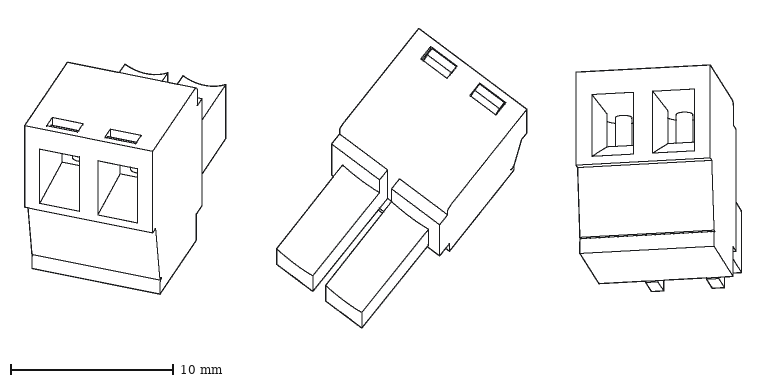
import cadquery as cq
import math


width = 8.42
length = 15.5
height = 11.3
pole_pitch = 3.81
pole_positions = (-pole_pitch / 2, pole_pitch / 2)

housing_depth = 8.8
upper_depth = 8.0
lower_depth = 7.81
shelf_top = 9.8
shelf_bottom = 1.92
rear_top_radius = 0.5
front_face_bottom = 5.3
front_overhang = 0.53
foot_front = 1.3
foot_lip_radius = 0.31
foot_top = 1.04

entry_width = 2.6
entry_top = height - 1.5
entry_bottom = height - 5.49
throat_width = 1.72
throat_top = height - 1.95
throat_bottom = height - 4.06
funnel_depth = 2.79
chamber_radius = 1.29
pin_radius = 0.51

window_width = 2.03
window_front = 0.46
window_length = 0.99
window_depth = 0.59
step_width = 1.92
step_depth = 0.23
step_length = window_length / 2

prong_width = 2.88
prong_bottom = 2.6
prong_top = 6.6
prong_draft = 0.03
prong_hollow = 0.39
gap_width = pole_pitch - prong_width

tab_width = 0.78
tab_length = 1.97
tab_height = 0.98
tab_setback = 0.22


def box(x_center, x_size, y_start, y_end, z_start, z_end):
    """Upright block given by its X centre and width and its Y and Z limits."""
    return (
        cq.Workplane("XY", origin=(x_center, (y_start + y_end) / 2, z_start))
        .rect(x_size, y_end - y_start)
        .extrude(z_end - z_start)
    )


def make_housing():
    """Side profile across the full width, with the gap between the prongs cut into its shelf."""
    lip_mid = foot_lip_radius * (1 - math.sqrt(0.5))
    body = (
        cq.Workplane("YZ", origin=(-width / 2, 0, 0))
        .moveTo(foot_front, 0)
        .lineTo(lower_depth, 0)
        .lineTo(lower_depth, shelf_bottom)
        .lineTo(housing_depth, shelf_bottom)
        .lineTo(housing_depth, shelf_top)
        .lineTo(upper_depth, shelf_top)
        .lineTo(upper_depth, height - rear_top_radius)
        .tangentArcPoint((-rear_top_radius, rear_top_radius))
        .lineTo(0, height)
        .lineTo(0, front_face_bottom)
        .lineTo(front_overhang, front_face_bottom)
        .lineTo(foot_front, foot_top)
        .lineTo(foot_front + foot_lip_radius, foot_top)
        .threePointArc(
            (foot_front + lip_mid, foot_top - lip_mid),
            (foot_front, foot_top - foot_lip_radius),
        )
        .close()
        .extrude(width)
    )
    gap = box(0, gap_width, upper_depth, housing_depth, prong_bottom, shelf_top)
    return body.cut(gap)


def make_wire_entry(x):
    """Tapered funnel ending in an upright round chamber with a pin left standing in it."""
    entry_height = entry_top - entry_bottom
    throat_height = throat_top - throat_bottom
    entry_middle = (entry_top + entry_bottom) / 2
    throat_middle = (throat_top + throat_bottom) / 2
    funnel = (
        cq.Workplane("XZ", origin=(x, 0, entry_middle))
        .rect(entry_width, entry_height)
        .workplane(offset=-funnel_depth)
        .center(0, throat_middle - entry_middle)
        .rect(throat_width, throat_height)
        .loft(ruled=True)
    )
    chamber_y = funnel_depth + math.sqrt(chamber_radius**2 - (throat_width / 2) ** 2)
    chamber = (
        cq.Workplane("XY", origin=(x, chamber_y, throat_bottom))
        .circle(chamber_radius)
        .circle(pin_radius)
        .extrude(throat_height)
    )
    behind_throat = box(x, 2 * chamber_radius, funnel_depth, housing_depth, throat_bottom, throat_top)
    return funnel.union(chamber.intersect(behind_throat))


def make_window(x):
    """Window with a front step that slopes down to its rear; the step stops short of the outer side."""
    window_rear = window_front + window_length
    opening = box(x, window_width, window_front, window_rear, height - window_depth, height)
    inner_side = x - math.copysign(window_width / 2, x)
    step_center = inner_side + math.copysign(step_width / 2, x)
    step = (
        cq.Workplane("YZ", origin=(step_center - step_width / 2, 0, 0))
        .moveTo(window_front, height - window_depth)
        .lineTo(window_rear, height - window_depth)
        .lineTo(window_front + step_length, height - step_depth)
        .lineTo(window_front, height - step_depth)
        .close()
        .extrude(step_width)
    )
    return opening.cut(step)


def prong_section(sketch, inset):
    """Prong outline in X and Z, its sides and top drawn in by the inset."""
    half_width = prong_width / 2 - inset
    top = prong_top - inset
    return (
        sketch.moveTo(-half_width, prong_bottom)
        .lineTo(half_width, prong_bottom)
        .lineTo(half_width, top)
        .threePointArc((0, top - prong_hollow), (-half_width, top))
        .close()
    )


def make_prong(x):
    """Drafted prong with a hollow top, and a latch tab under its tip."""
    base = prong_section(cq.Workplane("XZ", origin=(x, housing_depth, 0)), 0)
    prong = prong_section(base.workplane(offset=housing_depth - length), prong_draft).loft(ruled=True)
    tab_end = length - tab_setback
    tab = box(x, tab_width, tab_end - tab_length, tab_end, prong_bottom - tab_height, prong_bottom)
    return prong.union(tab)


result = make_housing()
for pole_x in pole_positions:
    result = result.cut(make_wire_entry(pole_x))
    result = result.cut(make_window(pole_x))
    result = result.union(make_prong(pole_x))